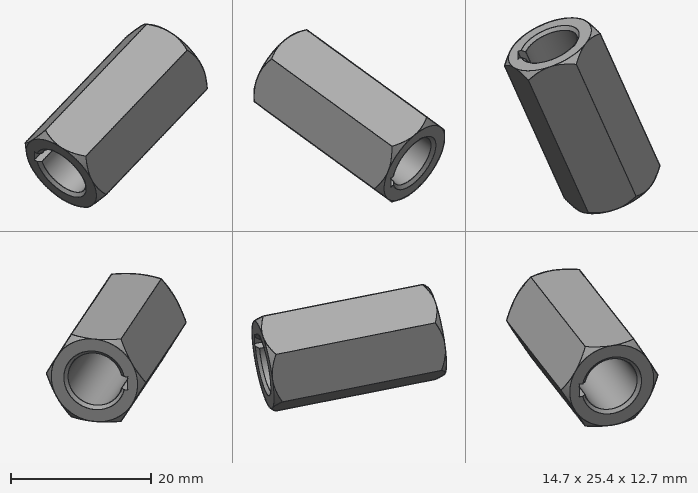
import cadquery as cq
import math

length = 25.4
across_flats = 12.7
bore_diameter = 8.0
bore_mouth_diameter = 9.0
keyway_width = 2.0
keyway_reach = 4.9

across_corners = across_flats / math.cos(math.radians(30))
corner_chamfer = (across_corners - across_flats) / 2
bore_chamfer = (bore_mouth_diameter - bore_diameter) / 2


def make_hexagon():
    """Hexagonal bar with corners on +X and -X."""
    return (
        cq.Workplane("XZ")
        .polygon(6, across_corners)
        .extrude(length / 2, both=True)
    )


def make_chamfered_cylinder():
    """Round envelope whose 45 degree end chamfers trim the hexagon corners."""
    return (
        cq.Workplane("XZ")
        .circle(across_corners / 2)
        .extrude(length / 2, both=True)
        .faces("<Y or >Y")
        .chamfer(corner_chamfer)
    )


def make_bore():
    """Through bore with a 45 degree countersink at each end."""
    half_length = length / 2
    bore_radius = bore_diameter / 2
    mouth_radius = bore_mouth_diameter / 2
    return (
        cq.Workplane("XY")
        .moveTo(0, -half_length)
        .lineTo(mouth_radius, -half_length)
        .lineTo(bore_radius, -half_length + bore_chamfer)
        .lineTo(bore_radius, half_length - bore_chamfer)
        .lineTo(mouth_radius, half_length)
        .lineTo(0, half_length)
        .close()
        .revolve(360, (0, 0, 0), (0, 1, 0))
    )


def make_keyway():
    """Rectangular slot on the -X side, running the full length."""
    return (
        cq.Workplane("XY")
        .box(keyway_reach, length, keyway_width)
        .translate((-keyway_reach / 2, 0, 0))
    )


result = (
    make_hexagon()
    .intersect(make_chamfered_cylinder())
    .cut(make_bore())
    .cut(make_keyway())
)